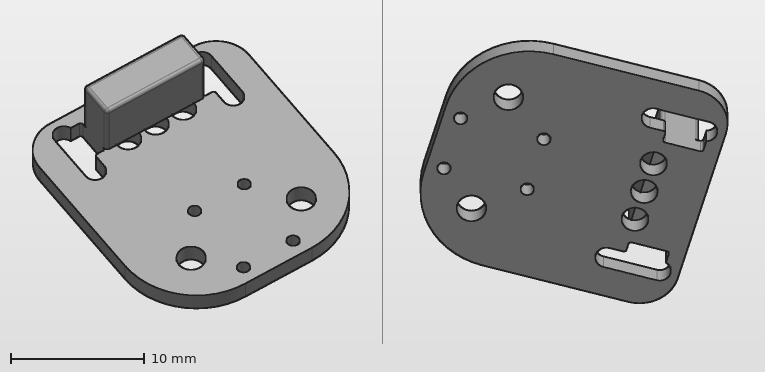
import cadquery as cq

plate_length = 20.82
plate_width = 19.0
plate_thickness = 1.6
left_corner_radius = 3.0
right_corner_radius = 6.5

block_left = 1.5
block_length = 3.0
block_width = 9.0
block_top = 6.3
block_rounding = 0.3
block_right = block_left + block_length

slot_length = 5.83
slot_width = 1.69
slot_center_x = 3.55
slot_center_y = 6.27
neck_left = 1.23
neck_right = 4.37
neck_rounding = 0.2

row_hole_diameter = 2.0
row_hole_pitch = 2.5

large_hole_diameter = 2.2
large_hole_x = 16.53
large_hole_y = 5.0
small_hole_diameter = 1.0
small_hole_xs = (12.97, 19.47)
small_hole_y = 2.25


def make_plate():
    plate = cq.Workplane("XY").box(
        plate_length, plate_width, plate_thickness, centered=(False, True, False)
    )
    plate = plate.edges("|Z and <X").fillet(left_corner_radius)
    return plate.edges("|Z and >X").fillet(right_corner_radius)


def make_block():
    block = (
        cq.Workplane("XY", origin=(block_left, 0, plate_thickness))
        .box(block_length, block_width, block_top - plate_thickness, centered=(False, True, False))
    )
    return block.edges("|Z or >Z").fillet(block_rounding)


def make_slot():
    """Cutter for the slot and neck on the +Y side."""
    slot = (
        cq.Workplane("XY")
        .center(slot_center_x, slot_center_y)
        .slot2D(slot_length, slot_width)
        .extrude(plate_thickness)
    )
    neck_end = block_width / 2
    neck = (
        cq.Workplane("XY", origin=(neck_left, neck_end, 0))
        .box(neck_right - neck_left, slot_center_y - neck_end, plate_thickness, centered=False)
        .edges("|Z and <Y")
        .fillet(neck_rounding)
    )
    mouth = (neck_right, slot_center_y - slot_width / 2, plate_thickness / 2)
    return slot.union(neck).edges(cq.selectors.NearestToPointSelector(mouth)).fillet(neck_rounding)


def make_holes(diameter, centers):
    return cq.Workplane("XY").pushPoints(centers).circle(diameter / 2).extrude(plate_thickness)


row_centers = [(block_right, step * row_hole_pitch) for step in (-1, 0, 1)]
large_centers = [(large_hole_x, side * large_hole_y) for side in (-1, 1)]
small_centers = [(x, side * small_hole_y) for x in small_hole_xs for side in (-1, 1)]

slot_cutter = make_slot()
plate = make_plate().cut(slot_cutter).cut(slot_cutter.mirror("XZ"))
plate = plate.cut(make_holes(row_hole_diameter, row_centers))
plate = plate.cut(make_holes(large_hole_diameter, large_centers))
plate = plate.cut(make_holes(small_hole_diameter, small_centers))

result = plate.union(make_block())